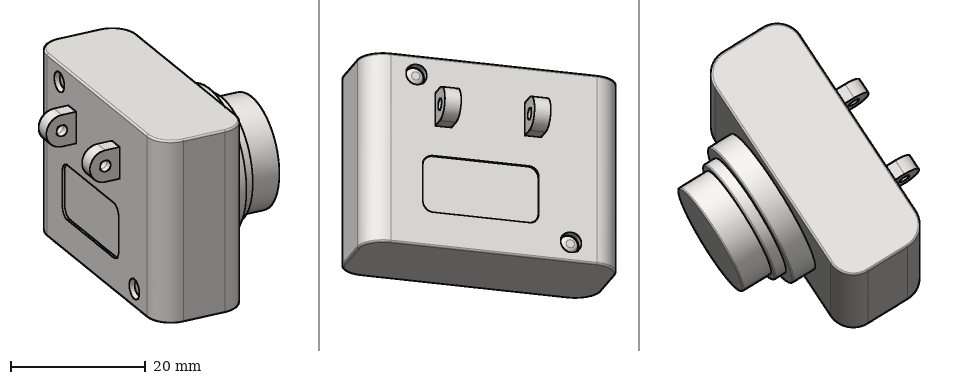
import cadquery as cq

body_width = 40.0
body_depth = 15.0
body_height = 30.0
corner_radius = 4.0
rim_fillet = 0.3
back_y = -body_depth / 2
front_y = body_depth / 2

lens_rings = [(23.6, 4.0), (20.0, 2.0), (18.0, 5.0)]
lens_rim_fillet = 0.2

lug_width = 2.5
lug_reach = 5.0
lug_radius = 2.6
lug_hole_diameter = 1.8
lug_z = 6.75
lug_spacing = 13.9
lug_middle_x = -0.9
lug_centers_x = [lug_middle_x - lug_spacing / 2, lug_middle_x + lug_spacing / 2]

label_width = 18.0
label_height = 9.0
label_radius = 1.6
label_depth = 0.4
label_x = -2.0
label_z = -5.1

screw_offset = 12.0
screw_centers = [(-screw_offset, screw_offset), (screw_offset, -screw_offset)]
screw_hole_diameter = 3.2
screw_head_diameter = 3.0
screw_flat_diameter = 1.3
screw_top_depth = 0.5
screw_round_radius = (screw_head_diameter - screw_flat_diameter) / 2


def make_body():
    """Box with rounded upright corners and softened top and bottom rims."""
    block = cq.Workplane("XY").box(body_width, body_depth, body_height)
    return block.edges("|Z").fillet(corner_radius).faces("<Z or >Z").edges().fillet(rim_fillet)


def make_lens():
    """Stack of rings, each with a softened outer rim."""
    start_y = front_y
    lens = cq.Workplane("XZ")
    for diameter, length in lens_rings:
        ring = cq.Workplane("XZ", origin=(0, start_y, 0)).circle(diameter / 2).extrude(-length)
        lens = lens.add(ring.faces(">Y").edges().fillet(lens_rim_fillet))
        start_y += length
    return lens.combine()


def make_lug(center_x):
    """Upright tab with a round outer end and a cross hole on the round's centre."""
    tip_y = back_y - lug_reach
    eye_y = tip_y + lug_radius
    tab = (
        cq.Workplane("YZ", origin=(center_x, 0, lug_z))
        .moveTo(back_y, lug_radius)
        .lineTo(eye_y, lug_radius)
        .threePointArc((tip_y, 0), (eye_y, -lug_radius))
        .lineTo(back_y, -lug_radius)
        .close()
        .extrude(lug_width / 2, both=True)
    )
    hole = (
        cq.Workplane("YZ", origin=(center_x, eye_y, lug_z))
        .circle(lug_hole_diameter / 2)
        .extrude(lug_width, both=True)
    )
    return tab.cut(hole)


def make_label_recess():
    """Rounded rectangle that is cut into the back face."""
    return (
        cq.Workplane("XZ", origin=(label_x, back_y, label_z))
        .rect(label_width, label_height)
        .extrude(-label_depth)
        .edges("|Y")
        .fillet(label_radius)
    )


def make_screw_recess(x, z):
    """Round hole around a screw head, whose flat top rounds down to its side."""
    hole_depth = screw_top_depth + screw_round_radius
    arc_drop = screw_round_radius * (1 - 0.5**0.5)
    hole_radius = screw_hole_diameter / 2
    head_radius = screw_head_diameter / 2
    flat_radius = screw_flat_diameter / 2
    return (
        cq.Workplane("XY", origin=(x, back_y, z))
        .lineTo(hole_radius, 0)
        .lineTo(hole_radius, hole_depth)
        .lineTo(head_radius, hole_depth)
        .threePointArc(
            (head_radius - arc_drop, screw_top_depth + arc_drop),
            (flat_radius, screw_top_depth),
        )
        .lineTo(0, screw_top_depth)
        .close()
        .revolve(360, (0, 0, 0), (0, 1, 0))
    )


result = make_body().union(make_lens())
for lug_x in lug_centers_x:
    result = result.union(make_lug(lug_x))
result = result.cut(make_label_recess())
for screw_x, screw_z in screw_centers:
    result = result.cut(make_screw_recess(screw_x, screw_z))